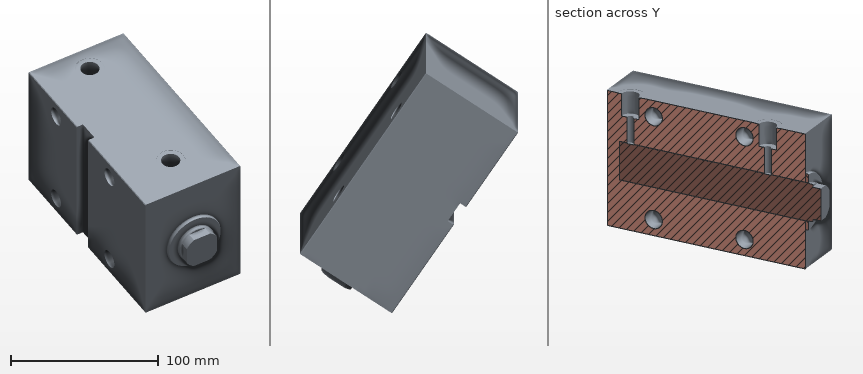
import cadquery as cq


overall_length = 165.0
rod_projection = 12.0
housing_length = overall_length - rod_projection
housing_width = 75.0
housing_height = 100.0
edge_chamfer = 0.5

slot_start = 63.0
slot_width = 15.0
slot_depth = 5.0

mount_diameter = 13.0
mount_positions_x = (36.0, 106.0)
mount_offset_z = 38.0

port_positions_x = (18.0, 123.9)
spotface_diameter = 20.0
spotface_depth = 0.2
port_diameter = 13.0
port_depth = 16.5
passage_diameter = 5.0

rod_diameter = 28.0
rod_start = 9.9
collar_projection = 5.8
collar_chamfer = 0.5
wrench_flats = 24.0
tip_diameter = rod_diameter - 2 * collar_chamfer

gland_diameter = 41.7
gland_thickness = 2.6
gland_chamfer_length = 1.0
gland_chamfer_depth = 0.5


def cylinder_along_x(diameter, start, end):
    """Solid cylinder on the rod axis between two X positions."""
    return cq.Workplane("YZ", origin=(start, 0, 0)).circle(diameter / 2).extrude(end - start)


def cut_slot(block):
    """Key slot that runs the full height of the front face."""
    front = -housing_width / 2
    slot = cq.Workplane("XY").box(slot_width, slot_depth, housing_height, centered=(False, False, True))
    return block.cut(slot.translate((slot_start, front, 0)))


def cut_mounting_holes(block):
    """Four holes that pass through the block from front to back."""
    centres = [(x, z) for x in mount_positions_x for z in (-mount_offset_z, mount_offset_z)]
    holes = (
        cq.Workplane("XZ", origin=(0, housing_width / 2, 0))
        .pushPoints(centres)
        .circle(mount_diameter / 2)
        .extrude(housing_width)
    )
    return block.cut(holes)


def cut_port(block, x):
    """Spotfaced oil port with a narrow passage down to the rod bore."""
    top = housing_height / 2
    steps = (
        (spotface_diameter, spotface_depth),
        (port_diameter, port_depth),
        (passage_diameter, top),
    )
    for diameter, depth in steps:
        step = cq.Workplane("XY", origin=(x, 0, top)).circle(diameter / 2).extrude(-depth)
        block = block.cut(step)
    return block


def make_housing():
    """Block with key slot, mounting holes, oil ports and a blind rod bore."""
    block = (
        cq.Workplane("XY")
        .box(housing_length, housing_width, housing_height, centered=(False, True, True))
        .edges("|X")
        .chamfer(edge_chamfer)
    )
    block = cut_slot(block)
    block = cut_mounting_holes(block)
    for x in port_positions_x:
        block = cut_port(block, x)
    return block.cut(cylinder_along_x(rod_diameter, rod_start, housing_length))


def make_gland():
    """Flat ring around the rod with a bevelled outer rim."""
    gland_end = housing_length + gland_thickness
    bevel_start = gland_end - gland_chamfer_length
    outer_radius = gland_diameter / 2
    return (
        cq.Workplane("XY")
        .moveTo(housing_length, rod_diameter / 2)
        .lineTo(housing_length, outer_radius)
        .lineTo(bevel_start, outer_radius)
        .lineTo(gland_end, outer_radius - gland_chamfer_depth)
        .lineTo(gland_end, rod_diameter / 2)
        .close()
        .revolve(360, (0, 0, 0), (1, 0, 0))
    )


def make_rod():
    """Rod with a chamfered collar and a tip that carries four wrench flats."""
    collar_end = housing_length + collar_projection
    shaft = cylinder_along_x(rod_diameter, rod_start, collar_end).faces(">X").chamfer(collar_chamfer)
    tip_length = overall_length - collar_end
    square = cq.Workplane("YZ", origin=(collar_end, 0, 0)).rect(wrench_flats, wrench_flats)
    tip = cylinder_along_x(tip_diameter, collar_end, overall_length).intersect(square.extrude(tip_length))
    return shaft.union(tip)


housing = make_housing()
gland = make_gland()
rod = make_rod()

result = cq.Compound.makeCompound([housing.val(), gland.val(), rod.val()])